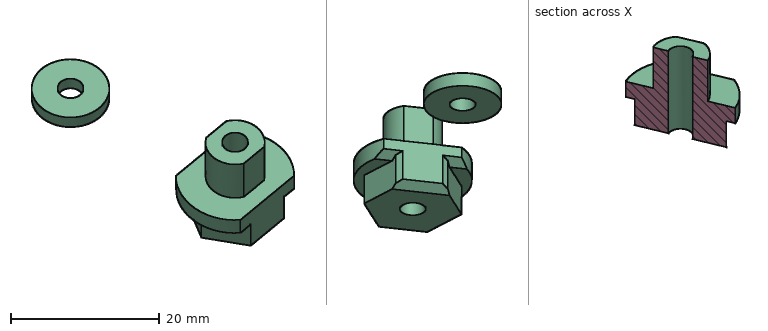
import cadquery as cq
import math

washer_diameter = 10.5
washer_thickness = 2.0

bore_diameter = 3.5

nut_x = 30.0
total_height = 13.8
shoulder_height = 7.0
hex_height = 4.35
hex_corner_radius = 6.75
flange_diameter = 16.0
body_width = 11.8
post_diameter = 8.0
post_width = 6.9

edge_bevel = 1.1
corner_bevel = 0.57

flange_thickness = shoulder_height - hex_height
post_height = total_height - shoulder_height
half_width = body_width / 2
hex_slant = math.radians(30)
flat_half_length = hex_corner_radius - half_width * math.tan(hex_slant)


def make_washer():
    ring = cq.Workplane("XY").circle(washer_diameter / 2).circle(bore_diameter / 2)
    return ring.extrude(washer_thickness)


def flatted_disc(diameter, width, height, base_z):
    """Upright cylinder trimmed by two flats facing -X and +X."""
    disc = cq.Workplane("XY").workplane(offset=base_z).circle(diameter / 2).extrude(height)
    slab = cq.Workplane("XY").workplane(offset=base_z).rect(width, diameter).extrude(height)
    return disc.intersect(slab)


def hex_block():
    """Hexagonal base with corners on the Y axis and bevels around its -X flat."""
    corners = [
        (0, hex_corner_radius),
        (half_width, flat_half_length),
        (half_width, -flat_half_length),
        (0, -hex_corner_radius),
        (-half_width, -flat_half_length),
        (-half_width, flat_half_length),
    ]
    block = cq.Workplane("XY").polyline(corners).close().extrude(shoulder_height)
    block = block.faces("<X").edges("|Z").chamfer(corner_bevel)
    return block.faces("<X").edges("<Z").chamfer(edge_bevel)


def make_nut():
    flange = flatted_disc(flange_diameter, body_width, flange_thickness, hex_height)
    flange = flange.faces("<X").edges("<Z").chamfer(edge_bevel)
    post = flatted_disc(post_diameter, post_width, post_height, shoulder_height)
    bore = cq.Workplane("XY").circle(bore_diameter / 2).extrude(total_height)
    nut = hex_block().union(flange).union(post).cut(bore).clean()
    return nut.translate((nut_x, 0, 0))


washer = make_washer()
nut = make_nut()

result = cq.Compound.makeCompound([washer.val(), nut.solids().val()])